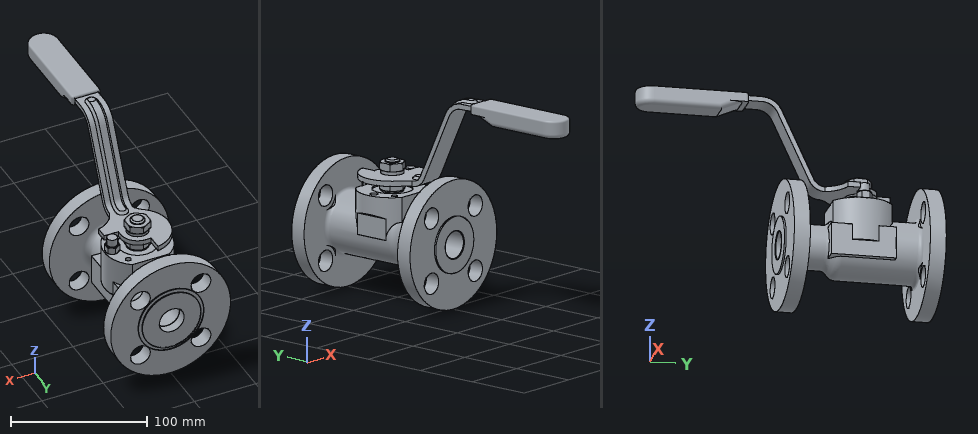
import cadquery as cq
import math


flange_diameter = 98.0
flange_thickness = 12.1
flange_radius = flange_diameter / 2
bolt_hole_diameter = 16.0
bolt_offset = 24.7
bore_diameter = 20.6
bore_chamfer = 0.5

overall_length = 224.4
rear_end_y = 57.0
rear_face_y = 55.3
rear_lip_height = 0.8
rear_lip_diameter = 53.4
rear_flange_inner_y = rear_face_y - flange_thickness
spotface_diameter = 22.6

front_end_y = -60.2
raised_face_height = 1.3
raised_face_diameter = 42.9
front_face_y = front_end_y + raised_face_height
front_flange_inner_y = front_face_y + flange_thickness

barrel_diameter = 46.6
barrel_radius = barrel_diameter / 2
barrel_fillet = 3.3
neck_diameter = 34.0
neck_radius = neck_diameter / 2
neck_flange_fillet = 5.6
shoulder_y = -16.3
shoulder_round = 7.0
neck_round = 5.8

boss_diameter = 53.7
boss_radius = boss_diameter / 2
boss_flat_y = 22.2
boss_top = 32.5
boss_recess_diameter = 30.09
boss_recess_depth = 1.0
pad_x = 23.1
pad_top = 16.2
pad_slope_rise = 2.1
pad_half_width = math.sqrt(boss_radius**2 - pad_x**2)
side_block_x = 24.9
side_block_rear_y = 23.0
side_block_front_y = -25.7
side_block_half_height = 12.0
stop_offset = 20.7
stop_hole_diameter = 6.0
mount_hole_diameter = 4.2
mount_offset = 14.75
boss_hole_depth = 8.0
drill_tip_height = 1.25

insert_diameter = 47.85
insert_bore_diameter = 20.15
insert_thickness = 8.0

stem_diameter = 10.98
stem_bottom = 14.0
stem_top = 55.3
stem_chamfer = 1.25
nut_across_corners = 20.15
hex_chamfer_height = 0.6
hex_chamfer_width = 0.9
gland_hex_top = 39.3
gland_spigot_diameter = 17.2
nut_bottom = 47.3
nut_top = 53.3
washer_diameter = 17.2

stop_across_corners = 11.55
stop_hex_height = 6.0
stop_head_diameter = 7.92

overall_top = 113.01
lever_thickness = 4.0
plate_top = 44.65
plate_bottom = plate_top - lever_thickness
disc_radius = 25.4
notch_radius = 13.6
notch_x = -4.4
notch_y = -4.1
ear_x = 25.2
ear_y = -13.4
ear_curve_point = (15.6, -18.3)
neck_blend_x = -14.8
neck_blend_point = (-11.6, -23.5)
arm_width = 19.2
arm_start_y = -27.1
arm_end_y = -155.5
arm_plate_overlap = 1.0
arm_angle = math.radians(65)
lower_bend_radius = 9.0
upper_bend_radius = lower_bend_radius + 2 * lever_thickness
rib_height = 2.0
rib_base_width = 9.8
rib_top_width = 5.8
rib_start_y = -25.7
rib_end_y = -76.3
arm_top = overall_top - rib_height

grip_width = 23.5
grip_start_y = -84.6
grip_end_y = rear_end_y - overall_length
grip_taper_start_y = -89.0
grip_taper_end_y = -104.8
grip_start_bottom = 105.5
grip_bottom = 98.8
grip_corner_round = 2.0
grip_top_round = 1.8
grip_bottom_round = 3.8


def cylinder(diameter, bottom, top, x=0.0, y=0.0):
    """Upright cylinder between two heights."""
    return cq.Workplane("XY", origin=(x, y, bottom)).circle(diameter / 2).extrude(top - bottom)


def hexagon(across_corners, bottom, top, x=0.0, y=0.0):
    """Upright hexagonal prism with corners toward +Y and -Y, its corners chamfered at both ends."""
    base = cq.Workplane("XY", origin=(x, y, bottom)).transformed(rotate=(0, 0, 90))
    prism = base.polygon(6, across_corners).extrude(top - bottom)
    envelope = cylinder(across_corners, bottom, top, x, y)
    envelope = envelope.faces("<Z").chamfer(hex_chamfer_height, hex_chamfer_width)
    envelope = envelope.faces(">Z").chamfer(hex_chamfer_height, hex_chamfer_width)
    return prism.intersect(envelope)


def bore_cylinder(diameter, front, rear):
    """Cylinder along the bore axis between two Y positions."""
    return cq.Workplane("XZ", origin=(0, rear, 0)).circle(diameter / 2).extrude(rear - front)


def bolt_pattern(diameter, front, rear):
    """Four cylinders along Y on the bolt square."""
    spacing = 2 * bolt_offset
    pattern = cq.Workplane("XZ", origin=(0, rear, 0)).rect(spacing, spacing, forConstruction=True)
    return pattern.vertices().circle(diameter / 2).extrude(rear - front)


def pipe_blank():
    """Flanges, barrel, shoulder and neck as one turned shape, without its bore."""
    half = math.sqrt(0.5)
    drop = 1 - half
    shoulder_end = (barrel_radius - shoulder_round * drop, shoulder_y - shoulder_round * half)
    neck_start_radius = neck_radius + neck_round * drop
    neck_start = (neck_start_radius, shoulder_end[1] - (shoulder_end[0] - neck_start_radius))
    neck_y = neck_start[1] - neck_round * half
    outline = (
        cq.Workplane("XY")
        .moveTo(0, rear_face_y + rear_lip_height)
        .lineTo(rear_lip_diameter / 2, rear_face_y + rear_lip_height)
        .lineTo(rear_lip_diameter / 2, rear_face_y)
        .lineTo(flange_radius, rear_face_y)
        .lineTo(flange_radius, rear_flange_inner_y)
        .lineTo(barrel_radius + barrel_fillet, rear_flange_inner_y)
        .radiusArc((barrel_radius, rear_flange_inner_y - barrel_fillet), -barrel_fillet)
        .lineTo(barrel_radius, shoulder_y)
        .radiusArc(shoulder_end, shoulder_round)
        .lineTo(*neck_start)
        .radiusArc((neck_radius, neck_y), -neck_round)
        .lineTo(neck_radius, front_flange_inner_y + neck_flange_fillet)
        .radiusArc((neck_radius + neck_flange_fillet, front_flange_inner_y), -neck_flange_fillet)
        .lineTo(flange_radius, front_flange_inner_y)
        .lineTo(flange_radius, front_face_y)
        .lineTo(raised_face_diameter / 2, front_face_y)
        .lineTo(raised_face_diameter / 2, front_end_y)
        .lineTo(0, front_end_y)
        .close()
    )
    return outline.revolve(360, (0, 0, 0), (0, 1, 0))


def stem_boss():
    """Round boss with flats front and rear."""
    flats = cq.Workplane("XY").rect(boss_diameter, 2 * boss_flat_y).extrude(boss_top)
    return cylinder(boss_diameter, 0, boss_top).intersect(flats)


def pad_cut():
    """Waste beside the flat pad low on the -X side of the boss, with a sloped top."""
    return (
        cq.Workplane("XZ")
        .moveTo(-pad_x, 0)
        .lineTo(-pad_x, pad_top)
        .lineTo(-boss_radius, pad_top + pad_slope_rise)
        .lineTo(-boss_radius, 0)
        .close()
        .extrude(pad_half_width, both=True)
    )


def boss_hole(diameter, x, y):
    """Cylinder that fills a blind hole in the top of the boss."""
    return cylinder(diameter, boss_top - boss_hole_depth, boss_top, x, y)


def drill_tip():
    """Cone below a mounting hole, centred on the Z axis."""
    tip = cq.Solid.makeCone(0, mount_hole_diameter / 2, drill_tip_height)
    return cq.Workplane(tip).translate((0, 0, boss_top - boss_hole_depth - drill_tip_height))


def bore_countersink():
    """Cone that breaks the front edge of the bore."""
    radius = bore_diameter / 2
    start = cq.Vector(0, front_end_y, 0)
    cone = cq.Solid.makeCone(radius + bore_chamfer, radius, bore_chamfer, start, cq.Vector(0, 1, 0))
    return cq.Workplane(cone)


def make_body():
    """Flanged housing with its stem boss, bore and holes."""
    side_block = cq.Workplane("XY").box(
        side_block_x,
        side_block_rear_y - side_block_front_y,
        2 * side_block_half_height,
        centered=(False, False, True),
    ).translate((0, side_block_front_y, 0))
    body = pipe_blank().union(stem_boss()).union(side_block).cut(pad_cut())
    body = body.cut(bore_cylinder(bore_diameter, front_end_y, rear_end_y))
    body = body.cut(bore_countersink())
    body = body.cut(bolt_pattern(bolt_hole_diameter, front_face_y, front_flange_inner_y))
    body = body.cut(bolt_pattern(bolt_hole_diameter, rear_flange_inner_y, rear_face_y))
    body = body.cut(bolt_pattern(spotface_diameter, rear_flange_inner_y - barrel_fillet, rear_flange_inner_y))
    body = body.cut(bore_cylinder(insert_diameter, rear_end_y - insert_thickness, rear_end_y))
    body = body.cut(cylinder(boss_recess_diameter, boss_top - boss_recess_depth, boss_top))
    body = body.cut(cylinder(stem_diameter, stem_bottom, boss_top))
    for side in (1, -1):
        body = body.cut(boss_hole(stop_hole_diameter, side * stop_offset, 0))
        body = body.cut(boss_hole(mount_hole_diameter, side * mount_offset, side * mount_offset))
        body = body.cut(drill_tip().translate((side * mount_offset, side * mount_offset, 0)))
    return body


def make_insert():
    """Disc with the port bore, seated in the rear flange."""
    seat_y = rear_end_y - insert_thickness
    disc = bore_cylinder(insert_diameter, seat_y, rear_end_y)
    return disc.cut(bore_cylinder(insert_bore_diameter, seat_y, rear_end_y))


def make_stem():
    """Round stem with a chamfered tip."""
    return cylinder(stem_diameter, stem_bottom, stem_top).faces(">Z").chamfer(stem_chamfer)


def make_gland_nut():
    """Hexagonal nut with a spigot in the boss recess and a round collar under the lever."""
    bottom = boss_top - boss_recess_depth
    nut = hexagon(nut_across_corners, boss_top, gland_hex_top)
    nut = nut.union(cylinder(gland_spigot_diameter, bottom, boss_top))
    nut = nut.union(cylinder(nut_across_corners, gland_hex_top, plate_bottom))
    return nut.cut(cylinder(stem_diameter, bottom, plate_bottom))


def make_lever_nut():
    """Hexagonal nut that holds the lever on the stem."""
    nut = hexagon(nut_across_corners, nut_bottom, nut_top)
    return nut.cut(cylinder(stem_diameter, nut_bottom, nut_top))


def make_washer():
    """Plain washer between the lever and its nut."""
    ring = cylinder(washer_diameter, plate_top, nut_bottom)
    return ring.cut(cylinder(stem_diameter, plate_top, nut_bottom))


def make_stop_screw():
    """Screw in the boss whose round head stands in the lever's notch."""
    hex_top = boss_top + stop_hex_height
    hex_part = hexagon(stop_across_corners, boss_top, hex_top, stop_offset)
    shank = boss_hole(stop_hole_diameter, stop_offset, 0)
    head = cylinder(stop_head_diameter, hex_top, plate_top, stop_offset)
    return hex_part.union(shank).union(head)


def lever_plate():
    """Disc around the stem with a notch that limits the quarter turn."""
    half_arm = arm_width / 2
    notch_top = (notch_x, math.sqrt(disc_radius**2 - notch_x**2))
    notch_middle = (notch_radius * math.sqrt(0.5), notch_radius * math.sqrt(0.5))
    blend_start = (neck_blend_x, -math.sqrt(disc_radius**2 - neck_blend_x**2))
    outline = (
        cq.Workplane("XY", origin=(0, 0, plate_bottom))
        .moveTo(*notch_top)
        .lineTo(notch_x, notch_radius)
        .lineTo(0, notch_radius)
        .threePointArc(notch_middle, (notch_radius, 0))
        .lineTo(notch_radius, notch_y)
        .lineTo(ear_x, notch_y)
        .lineTo(ear_x, ear_y)
        .threePointArc(ear_curve_point, (half_arm, arm_start_y))
        .lineTo(-half_arm, arm_start_y)
        .threePointArc(neck_blend_point, blend_start)
        .threePointArc((-disc_radius, 0), notch_top)
        .close()
    )
    return outline.extrude(lever_thickness).cut(cylinder(stem_diameter, plate_bottom, plate_top))


def arm_path(start_y, end_y, height):
    """Cranked line along the arm, at a height above the arm's top face."""
    lower = lower_bend_radius - height
    upper = upper_bend_radius + height
    sine = math.sin(arm_angle)
    cosine = math.cos(arm_angle)
    bends_rise = (lower_bend_radius + upper_bend_radius) * (1 - cosine)
    straight_rise = arm_top - plate_top - bends_rise
    straight_run = straight_rise / math.tan(arm_angle)
    start_z = plate_top + height
    slope_start = (arm_start_y - lower * sine, start_z + lower * (1 - cosine))
    slope_end = (slope_start[0] - straight_run, slope_start[1] + straight_rise)
    flat_start = (slope_end[0] - upper * sine, slope_end[1] + upper * (1 - cosine))
    return (
        cq.Workplane("YZ")
        .moveTo(start_y, start_z)
        .lineTo(arm_start_y, start_z)
        .radiusArc(slope_start, lower)
        .lineTo(*slope_end)
        .radiusArc(flat_start, -upper)
        .lineTo(end_y, flat_start[1])
    )


def rib_end(y, base):
    """Tapered round end of the rib."""
    foot = cq.Workplane("XY", origin=(0, y, base)).circle(rib_base_width / 2)
    return foot.workplane(offset=rib_height).circle(rib_top_width / 2).loft()


def make_lever():
    """Notched plate, cranked arm and the stiffening rib along the arm."""
    middle = -lever_thickness / 2
    plate_edge_y = arm_start_y + arm_plate_overlap
    arm = (
        cq.Workplane("XZ", origin=(0, plate_edge_y, plate_top + middle))
        .rect(arm_width, lever_thickness)
        .sweep(arm_path(plate_edge_y, arm_end_y, middle))
    )
    rib = (
        cq.Workplane("XZ", origin=(0, rib_start_y, plate_top))
        .moveTo(-rib_base_width / 2, 0)
        .lineTo(rib_base_width / 2, 0)
        .lineTo(rib_top_width / 2, rib_height)
        .lineTo(-rib_top_width / 2, rib_height)
        .close()
        .sweep(arm_path(rib_start_y, rib_end_y, 0))
    )
    lever = lever_plate().union(arm).union(rib)
    return lever.union(rib_end(rib_start_y, plate_top)).union(rib_end(rib_end_y, arm_top))


def make_grip():
    """Rounded sleeve over the end of the arm."""
    half = grip_width / 2
    side = (
        cq.Workplane("YZ")
        .moveTo(grip_start_y, overall_top)
        .lineTo(grip_start_y, grip_start_bottom)
        .lineTo(grip_taper_start_y, grip_start_bottom)
        .lineTo(grip_taper_end_y, grip_bottom)
        .lineTo(grip_end_y, grip_bottom)
        .lineTo(grip_end_y, overall_top)
        .close()
        .extrude(half, both=True)
    )
    round_y = grip_end_y + half
    plan = (
        cq.Workplane("XY", origin=(0, 0, grip_bottom))
        .moveTo(-half, grip_start_y)
        .lineTo(half, grip_start_y)
        .lineTo(half, round_y)
        .threePointArc((0, grip_end_y), (-half, round_y))
        .close()
        .extrude(overall_top - grip_bottom)
    )
    grip = side.intersect(plan)
    grip = grip.edges("|Z and >Y").fillet(grip_corner_round)
    underside = cq.selectors.BoxSelector(
        (-grip_width, grip_end_y - 1, grip_bottom - 1),
        (grip_width, grip_taper_start_y - 1, overall_top - 1),
    )
    grip = grip.edges(underside).edges("not |X").edges("not |Z").fillet(grip_bottom_round)
    grip = grip.faces(">Z").edges().fillet(grip_top_round)
    pocket = cq.Workplane("XY").box(
        arm_width, grip_start_y - arm_end_y, lever_thickness, centered=(True, False, False)
    ).translate((0, arm_end_y, arm_top - lever_thickness))
    return grip.cut(pocket)


body = make_body()
insert = make_insert()
stem = make_stem()
gland_nut = make_gland_nut()
washer = make_washer()
lever_nut = make_lever_nut()
stop_screw = make_stop_screw()
lever = make_lever()
grip = make_grip()

parts = [body, insert, stem, gland_nut, washer, lever_nut, stop_screw, lever, grip]
result = cq.Compound.makeCompound([part.solids().val() for part in parts])